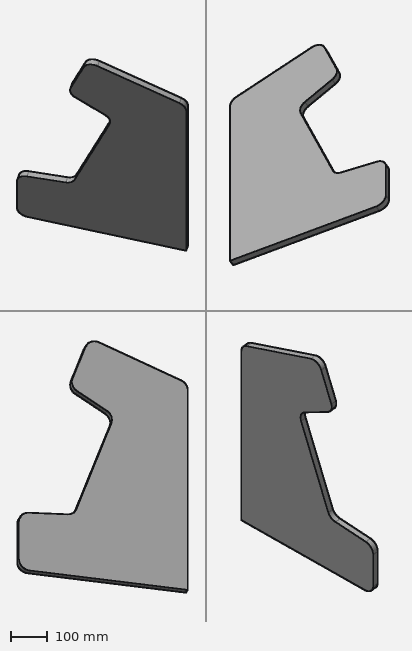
import cadquery as cq
import math

width = 475.0
thickness = 19.0
height = 712.5

corner_radius = 30.0

head_tilt = 20.0
lean_angle = 90.0 - head_tilt
chin_angle = 30.0
foot_angle = 5.0

toe_height = 171.0
instep_x = 155.0
chin_drop = 152.5
back_height = 620.0


def slope(angle):
    return math.tan(math.radians(angle))


def crossing(point_a, angle_a, point_b, angle_b):
    """Point where two sloped lines, each given by a point and an angle, meet."""
    slope_a = slope(angle_a)
    slope_b = slope(angle_b)
    rise = point_b[1] - point_a[1] + slope_a * point_a[0] - slope_b * point_b[0]
    x = rise / (slope_a - slope_b)
    return x, point_a[1] + slope_a * (x - point_a[0])


heel = (0, 0)
back_bottom = (width, 0)
back_top = (width, back_height)

toe = (0, toe_height)
instep = (instep_x, toe_height + instep_x * slope(foot_angle))

tilt = math.radians(head_tilt)
brow_z = height + corner_radius * (math.cos(tilt) + math.sin(tilt) - 1)
brow = (width - (brow_z - back_height) / slope(head_tilt), brow_z)

chin = (brow[0] - chin_drop / slope(lean_angle), brow_z - chin_drop)
throat = crossing(instep, lean_angle, chin, -chin_angle)

outline = [heel, back_bottom, back_top, brow, chin, throat, instep, toe]
panel = (
    cq.Workplane("XZ")
    .polyline(outline)
    .close()
    .extrude(thickness)
)

rounded_corners = [corner for corner in outline if corner != back_bottom]


def corner_edge(corner):
    return cq.selectors.NearestToPointSelector((corner[0], -thickness / 2, corner[1]))


for corner in rounded_corners:
    panel = panel.edges(corner_edge(corner)).fillet(corner_radius)

result = panel